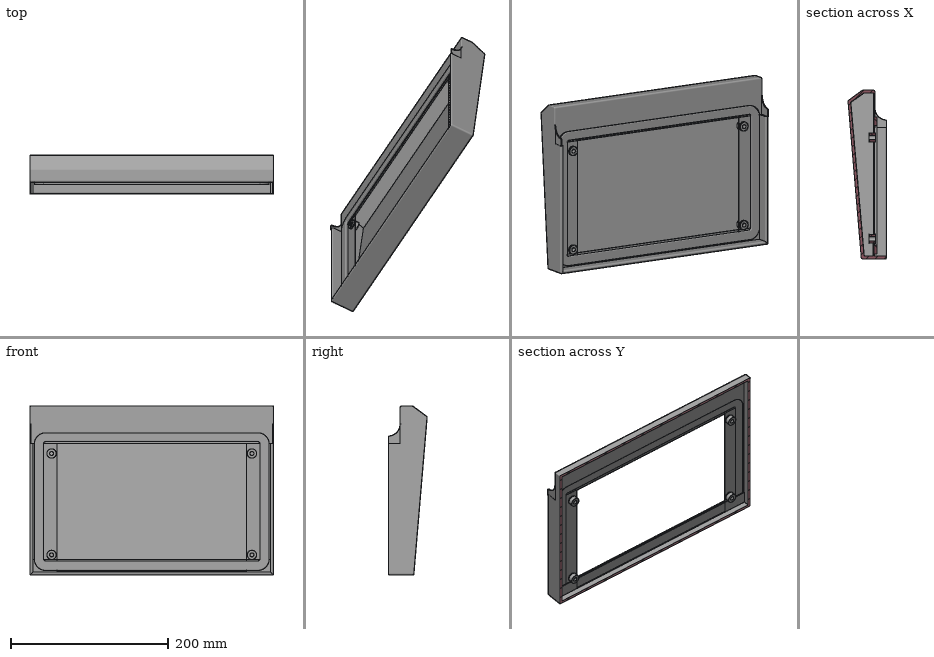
import cadquery as cq
import math

width = 310.0
depth = 49.5
height = 215.0

wall = 4.0
edge_radius = wall / 2
end_radius = 1.2
bottom_depth = 32.5
top_depth = 31.0
back_corner_height = 201.5
header_face = 15.0
header_bottom = 167.5
ear_thickness = 1.2
ear_height = 177.0
ear_tip_radius = 2.0
tray_floor = 15.8
front_wall = 1.0
opening_side = 34.7
opening_bottom = 4.3
rib_height = 20.0
rib_thickness = 1.0

frame_front = 12.0
frame_side = 5.5
frame_bottom = 6.0
frame_top = 181.0
frame_radius = 14.5
frame_edge_radius = 1.0
window_side = 17.5
window_bottom = 18.0
window_top = 170.0
window_radius = 3.0

bushing_radius = 6.0
bushing_bore_radius = 2.5
bushing_front = 14.0
bushing_length = 8.5
bushing_side = 27.5
bushing_heights = (25.7, 154.7)
bushing_places = [(x, z) for x in (bushing_side, width - bushing_side) for z in bushing_heights]


def box(x0, x1, y0, y1, z0, z1):
    """Box between the given limits."""
    return cq.Workplane("XY").box(x1 - x0, y1 - y0, z1 - z0, centered=False).translate((x0, y0, z0))


def rounded_plate(side, bottom, top, radius):
    """Upright plate with rounded corners, from the frame front to the tray floor."""
    plate = box(side, width - side, frame_front, tray_floor, bottom, top)
    return plate.edges("|Y").fillet(radius)


def rod(x, z, radius):
    """Cylinder along Y as long as a bushing."""
    start = cq.Vector(x, bushing_front, z)
    return cq.Workplane(cq.Solid.makeCylinder(radius, bushing_length, start, cq.Vector(0, 1, 0)))


def make_bushing(x, z):
    """Plain tube with a through bore."""
    return rod(x, z, bushing_radius).cut(rod(x, z, bushing_bore_radius))


def make_frame():
    """Rounded plate with a rounded window, its front edges rounded inside and out."""
    plate = rounded_plate(frame_side, frame_bottom, frame_top, frame_radius)
    window = rounded_plate(window_side, window_bottom, window_top, window_radius)
    return plate.cut(window).faces("<Y").edges().fillet(frame_edge_radius)


def outer_block():
    """Solid housing without rim and ears: the stepped side profile run across the width, edges rounded."""
    block = (
        cq.Workplane("YZ")
        .polyline([
            (edge_radius, 0),
            (bottom_depth, 0),
            (depth, back_corner_height),
            (top_depth, height),
            (header_face, height),
            (header_face, header_bottom),
            (edge_radius, header_bottom),
        ])
        .close()
        .extrude(width)
    )
    lower_corners = block.faces("<Z").edges("|Y")
    bottom_back = block.faces("<Z").edges("|X").edges(">Y")
    upper_edges = block.edges("|X").filter(lambda edge: edge.Center().z > header_bottom + wall)
    block = lower_corners.add(bottom_back).add(upper_edges).fillet(edge_radius)

    def on_header_or_back(edge):
        middle = edge.Center()
        on_header = middle.z > header_bottom + wall
        on_back = middle.y > header_face and middle.z > wall
        return on_header or on_back

    end_edges = block.faces("<X or >X").edges("%LINE").filter(on_header_or_back)
    return end_edges.fillet(end_radius)


def make_rim():
    """Half-round rim of the tray: rods along both side walls and the bottom wall, balls at the corners."""
    left_corner = cq.Vector(edge_radius, edge_radius, edge_radius)
    right_corner = cq.Vector(width - edge_radius, edge_radius, edge_radius)
    bottom_length = width - 2 * edge_radius
    side_length = header_bottom - edge_radius
    rim = cq.Workplane(cq.Solid.makeCylinder(edge_radius, bottom_length, left_corner, cq.Vector(1, 0, 0)))
    for corner in (left_corner, right_corner):
        side_rod = cq.Solid.makeCylinder(edge_radius, side_length, corner, cq.Vector(0, 0, 1))
        ball = cq.Workplane("XY").sphere(edge_radius).translate(corner)
        rim = rim.union(cq.Workplane(side_rod)).union(ball)
    return rim


def make_ear(x):
    """Thin side wall whose top sweeps from the header face down to the front in a quarter circle."""
    curve_radius = header_face
    curve_top = ear_height + curve_radius
    curve_mid = curve_radius * math.sqrt(0.5)
    ear_back = header_face + end_radius
    ear = (
        cq.Workplane("YZ", origin=(x, 0, 0))
        .moveTo(0, header_bottom)
        .lineTo(ear_back, header_bottom)
        .lineTo(ear_back, curve_top)
        .lineTo(header_face, curve_top)
        .threePointArc((curve_mid, curve_top - curve_mid), (0, ear_height))
        .close()
        .extrude(ear_thickness)
    )
    return ear.faces("<Y").edges(">Z").fillet(ear_tip_radius)


def cavity():
    """Hollow behind the tray floor, about one wall inside the outer profile."""
    front = tray_floor + front_wall
    profile = (
        cq.Workplane("YZ", origin=(wall, 0, 0))
        .polyline([
            (front, wall),
            (bottom_depth - wall, wall),
            (depth - wall, back_corner_height - wall / 2),
            (top_depth - wall / 2, height - wall),
            (front, height - wall),
        ])
        .close()
    )
    return profile.extrude(width - 2 * wall)


def make_housing(frame):
    """Case with its tray, ears, cavity, opening and rib, and seats for the frame and the bushings."""
    floor_back = tray_floor + front_wall
    housing = outer_block()
    housing = housing.cut(box(wall, width - wall, 0, tray_floor, wall, header_bottom))
    housing = housing.union(make_rim())
    for x in (0, width - ear_thickness):
        housing = housing.union(make_ear(x))
    housing = housing.cut(cavity())
    opening = box(opening_side, width - opening_side, tray_floor, floor_back, opening_bottom, header_bottom)
    housing = housing.cut(opening)
    rib = box(wall, width - wall, floor_back, floor_back + rib_thickness, wall, rib_height)
    housing = housing.union(rib)
    housing = housing.cut(frame)
    for x, z in bushing_places:
        housing = housing.cut(rod(x, z, bushing_radius))
    return housing


frame = make_frame()
housing = make_housing(frame)
bushings = [make_bushing(x, z) for x, z in bushing_places]

result = cq.Compound.makeCompound(
    [housing.val(), frame.val(), *[bushing.val() for bushing in bushings]]
)